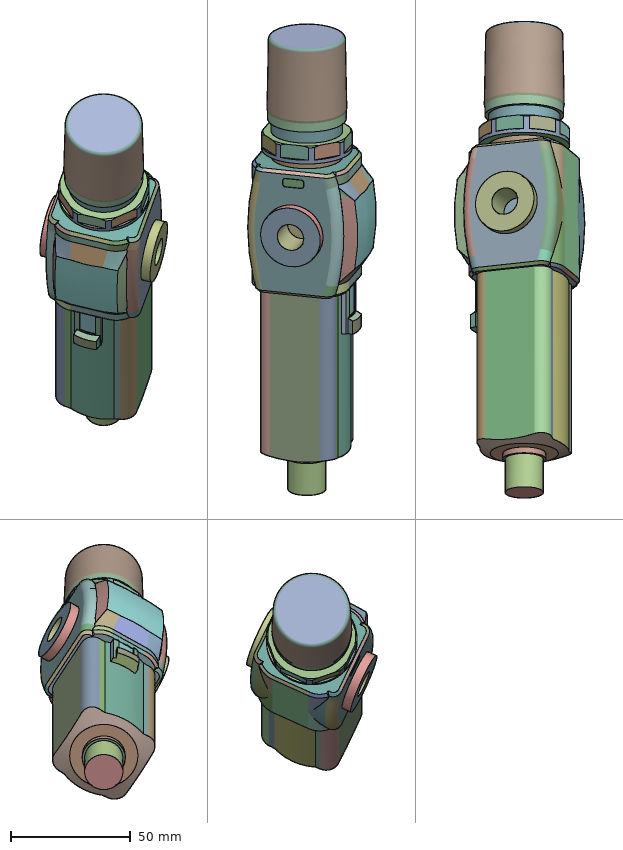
import cadquery as cq
import math


port_span = 48.0
total_height = 201.6
knob_top = 81.05
drain_bottom = knob_top - total_height

head_half_height = 27.7
head_half_width = 20.0
head_half_depth = 20.9
head_rim_chamfer = 1.3
barrel_radius = 99.0
barrel_half_height = 22.2
corner_fillet = 4.0
core_half_width = 16.2
core_flat_half_width = 8.2
core_side_depth = 17.6

pad_front = 26.92
pad_crown_radius = 89.0
pad_half_width = 13.5
pad_root_half_width = 16.5
pad_root_depth = 19.9
pad_flat_half_width = 7.0
pad_bow = 0.7
pad_outer_half_height = barrel_half_height
pad_inner_half_height = 15.2
pad_shoulder_depth = 25.6

port_boss_diameter = 26.0
port_hole_diameter = 11.45
port_hole_depth = 15.0

label_length = 9.2
label_height = 3.7
label_corner = 1.2
label_depth = 0.3
label_z = 22.6

stem_diameter = 30.0
nut_diameter = 38.0
nut_across_flats = 36.0
nut_sides = 8
nut_chamfer = 0.6
flange_bottom = 31.25
flange_top = 32.95
nut_top = 39.05
knob_bottom = 44.55
knob_ring_top = 48.25
knob_skirt_bottom = 49.35
knob_ring_diameter = 33.0
knob_skirt_diameter = 33.5
knob_top_diameter = 32.3
knob_fillet = 1.3

bowl_top = -head_half_height
bowl_half_width = 17.5
bowl_strip_depth = 16.4
bowl_corner_fillet = 5.5
bowl_face_half_width = 9.4
bowl_face_depth = 18.15
bowl_cone_slope = 0.38
bowl_bottom = -103.45
bowl_bottom_diameter = 28.5
collar_diameter = 18.0
collar_bottom = -105.95
drain_diameter = 16.0

latch_bottom = -47.1
latch_plate_radius = 20.5
latch_block_radius = 23.0
latch_block_back_top = -40.1
latch_block_front_top = -41.5
latch_block_back = 19.2
latch_root_depth = 16.0
latch_left = -7.0
latch_right = 3.4
latch_side_shift = 1.2
latch_groove_left = -4.6
latch_groove_right = 2.4
latch_groove_depth = 0.6


def cylinder(diameter, bottom, top):
    """Vertical cylinder on the centre line."""
    return cq.Workplane("XY").workplane(offset=bottom).circle(diameter / 2).extrude(top - bottom)


def block(x_range, y_range, z_range):
    """Axis-aligned box given by its limits."""
    (x0, x1), (y0, y1), (z0, z1) = x_range, y_range, z_range
    return cq.Workplane("XY").box(x1 - x0, y1 - y0, z1 - z0, centered=False).translate((x0, y0, z0))


def core_arc_middle():
    """Middle of the arc that is tangent to the core's front flat and ends at its side."""
    run = core_half_width - core_flat_half_width
    drop = head_half_depth - core_side_depth
    radius = (run**2 + drop**2) / (2 * drop)
    half_angle = math.atan2(drop, run)
    x = core_flat_half_width + radius * math.sin(half_angle)
    y = head_half_depth - radius * (1 - math.cos(half_angle))
    return x, y


def head_core():
    """Straight middle of the head, flat at the front and back with rounded flanks."""
    mid_x, mid_y = core_arc_middle()
    quarter = (
        cq.Workplane("XY").workplane(offset=-head_half_height)
        .lineTo(0, head_half_depth)
        .lineTo(core_flat_half_width, head_half_depth)
        .threePointArc((mid_x, mid_y), (core_half_width, core_side_depth))
        .lineTo(core_half_width, 0)
        .close()
        .extrude(2 * head_half_height)
    )
    half = quarter.union(quarter.mirror("YZ"))
    return half.union(half.mirror("XZ")).clean()


def head_barrel():
    """Full-width part of the head: barrel-shaped front and back with straight, tangent ends."""
    bulge = barrel_radius - math.sqrt(barrel_radius**2 - barrel_half_height**2)
    slope = math.tan(math.asin(barrel_half_height / barrel_radius))
    arc_depth = head_half_depth - bulge
    end_depth = arc_depth - slope * (head_half_height - barrel_half_height)
    return (
        cq.Workplane("YZ").workplane(offset=-head_half_width)
        .moveTo(-end_depth, -head_half_height)
        .lineTo(end_depth, -head_half_height)
        .lineTo(arc_depth, -barrel_half_height)
        .threePointArc((head_half_depth, 0), (arc_depth, barrel_half_height))
        .lineTo(end_depth, head_half_height)
        .lineTo(-end_depth, head_half_height)
        .lineTo(-arc_depth, barrel_half_height)
        .threePointArc((-head_half_depth, 0), (-arc_depth, -barrel_half_height))
        .close()
        .extrude(2 * head_half_width)
        .edges("(<X or >X) and (not |Y)").fillet(corner_fillet)
    )


def pad_crown():
    """Trapezoid with a bowed front, turned about an axis parallel to X behind the head."""
    axis_y = pad_crown_radius - pad_front
    turn = math.degrees(math.asin(pad_outer_half_height / axis_y))
    edge_y = -pad_front + pad_bow
    profile = (
        cq.Workplane("XY")
        .moveTo(-pad_root_half_width, 0)
        .lineTo(-pad_root_half_width, -pad_root_depth)
        .lineTo(-pad_half_width, edge_y)
        .threePointArc((0, -pad_front), (pad_half_width, edge_y))
        .lineTo(pad_root_half_width, -pad_root_depth)
        .lineTo(pad_root_half_width, 0)
        .close()
    )
    crown = profile.revolve(2 * turn, (0, axis_y, 0), (1, axis_y, 0))
    return crown.rotate((0, axis_y, 0), (1, axis_y, 0), -turn)


def pad_slope():
    """Sloped upper limit of the pad: a flat middle strip between two flanks that meet the core."""
    mid_x, mid_y = core_arc_middle()
    shoulder_side = pad_shoulder_depth - pad_bow
    section = (
        cq.Workplane("XY").workplane(offset=pad_inner_half_height)
        .moveTo(pad_root_half_width, 0)
        .lineTo(pad_root_half_width, -pad_root_depth)
        .lineTo(pad_half_width, -shoulder_side)
        .lineTo(pad_flat_half_width, -pad_shoulder_depth)
        .lineTo(-pad_flat_half_width, -pad_shoulder_depth)
        .lineTo(-pad_half_width, -shoulder_side)
        .lineTo(-pad_root_half_width, -pad_root_depth)
        .lineTo(-pad_root_half_width, 0)
        .close()
    )
    section = (
        section.workplane(offset=pad_outer_half_height - pad_inner_half_height)
        .moveTo(core_half_width, 0)
        .lineTo(core_half_width, corner_fillet - core_side_depth)
        .lineTo(core_half_width, -core_side_depth)
        .threePointArc((mid_x, -mid_y), (core_flat_half_width, -head_half_depth))
        .lineTo(-core_flat_half_width, -head_half_depth)
        .threePointArc((-mid_x, -mid_y), (-core_half_width, -core_side_depth))
        .lineTo(-core_half_width, corner_fillet - core_side_depth)
        .lineTo(-core_half_width, 0)
        .close()
    )
    return section.loft(ruled=True)


def head_pad():
    middle = block(
        (-pad_root_half_width, pad_root_half_width),
        (-pad_front, 0),
        (-pad_inner_half_height, pad_inner_half_height),
    )
    slope = pad_slope()
    limits = middle.union(slope).union(slope.mirror("XY"))
    return pad_crown().intersect(limits)


def housing():
    core = head_core().faces("<Z or >Z").chamfer(head_rim_chamfer)
    barrel = head_barrel().faces("<Z or >Z").chamfer(head_rim_chamfer)
    return core.union(barrel).union(head_pad())


def add_ports(body):
    bosses = (
        cq.Workplane("YZ").workplane(offset=-port_span / 2)
        .circle(port_boss_diameter / 2).extrude(port_span)
    )
    body = body.union(bosses)
    for side in (-1, 1):
        hole = (
            cq.Workplane("YZ").workplane(offset=side * port_span / 2)
            .circle(port_hole_diameter / 2).extrude(-side * port_hole_depth)
        )
        body = body.cut(hole)
    return body


def label_recess():
    return (
        cq.Workplane("YZ").workplane(offset=-head_half_width)
        .center(0, label_z).rect(label_length, label_height).extrude(label_depth)
        .edges("|X").fillet(label_corner)
    )


def panel_nut():
    """Octagonal nut with rounded, chamfered corners on a round flange."""
    across_corners = nut_across_flats / math.cos(math.pi / nut_sides)
    octagon = (
        cq.Workplane("XY").workplane(offset=flange_top)
        .polygon(nut_sides, across_corners).extrude(nut_top - flange_top)
        .rotate((0, 0, 0), (0, 0, 1), 180 / nut_sides)
    )
    envelope = cylinder(nut_diameter, flange_top, nut_top).faces(">Z").chamfer(nut_chamfer)
    return octagon.intersect(envelope).union(cylinder(nut_diameter, flange_bottom, flange_top))


def knob():
    """Slightly tapered grip above a plain ring."""
    grip = (
        cq.Workplane("XZ")
        .moveTo(0, knob_bottom)
        .lineTo(knob_ring_diameter / 2, knob_bottom)
        .lineTo(knob_ring_diameter / 2, knob_ring_top)
        .lineTo(knob_skirt_diameter / 2, knob_skirt_bottom)
        .lineTo(knob_top_diameter / 2, knob_top)
        .lineTo(0, knob_top)
        .close()
        .revolve(360, (0, 0, 0), (0, 1, 0))
    )
    return grip.faces(">Z").edges().fillet(knob_fillet)


def regulator_head():
    body = add_ports(housing()).cut(label_recess())
    body = body.union(cylinder(stem_diameter, head_half_height, knob_bottom))
    return body.union(panel_nut()).union(knob())


def bowl_bar():
    """Rounded rectangular bar with a bulging round face at the front and back."""
    height = bowl_top - bowl_bottom
    bar = (
        cq.Workplane("XY").workplane(offset=bowl_bottom)
        .rect(2 * bowl_half_width, 2 * bowl_strip_depth).extrude(height)
        .edges("|Z").fillet(bowl_corner_fillet)
    )
    round_faces = (
        cq.Workplane("XY").workplane(offset=bowl_bottom)
        .moveTo(-bowl_face_half_width, -bowl_strip_depth)
        .threePointArc((0, -bowl_face_depth), (bowl_face_half_width, -bowl_strip_depth))
        .lineTo(bowl_face_half_width, bowl_strip_depth)
        .threePointArc((0, bowl_face_depth), (-bowl_face_half_width, bowl_strip_depth))
        .close()
        .extrude(height)
    )
    return bar.union(round_faces)


def bowl_shell():
    """Bowl bar with its lower end turned to a shallow cone."""
    bottom_radius = bowl_bottom_diameter / 2
    outer_radius = math.hypot(bowl_half_width, bowl_strip_depth)
    cone_top = bowl_bottom + bowl_cone_slope * (outer_radius - bottom_radius)
    cone = (
        cq.Workplane("XZ")
        .moveTo(0, bowl_top)
        .lineTo(outer_radius, bowl_top)
        .lineTo(outer_radius, cone_top)
        .lineTo(bottom_radius, bowl_bottom)
        .lineTo(0, bowl_bottom)
        .close()
        .revolve(360, (0, 0, 0), (0, 1, 0))
    )
    return bowl_bar().intersect(cone)


def latch():
    """Curved plate with a shallow groove, ending in a finger block with slanted sides and top."""
    plate_right = latch_right + latch_side_shift
    plate = block(
        (latch_left, plate_right), (-latch_plate_radius, -latch_root_depth), (latch_bottom, bowl_top)
    )
    plate = plate.intersect(cylinder(2 * latch_plate_radius, latch_bottom, bowl_top))
    groove = block(
        (latch_groove_left, latch_groove_right), (-latch_plate_radius, 0), (latch_block_back_top, bowl_top)
    ).cut(cylinder(2 * (latch_plate_radius - latch_groove_depth), latch_block_back_top, bowl_top))

    finger_plan = (
        cq.Workplane("XY").workplane(offset=latch_bottom)
        .moveTo(latch_left, -latch_block_radius)
        .lineTo(latch_right, -latch_block_radius)
        .lineTo(plate_right, -latch_block_back)
        .lineTo(latch_left + latch_side_shift, -latch_block_back)
        .close()
        .extrude(latch_block_back_top - latch_bottom)
    )
    finger_side = (
        cq.Workplane("YZ").workplane(offset=latch_left)
        .moveTo(-latch_block_back, latch_bottom)
        .lineTo(-latch_block_radius, latch_bottom)
        .lineTo(-latch_block_radius, latch_block_front_top)
        .lineTo(-latch_block_back, latch_block_back_top)
        .close()
        .extrude(plate_right - latch_left)
    )
    round_front = cylinder(2 * latch_block_radius, latch_bottom, latch_block_back_top)
    finger = finger_plan.intersect(finger_side).intersect(round_front)
    return plate.cut(groove).union(finger)


def filter_bowl():
    body = bowl_shell().union(latch())
    body = body.union(cylinder(collar_diameter, collar_bottom, bowl_bottom))
    return body.union(cylinder(drain_diameter, drain_bottom, collar_bottom))


head = regulator_head()
bowl = filter_bowl()
result = cq.Compound.makeCompound([head.val(), bowl.val()])